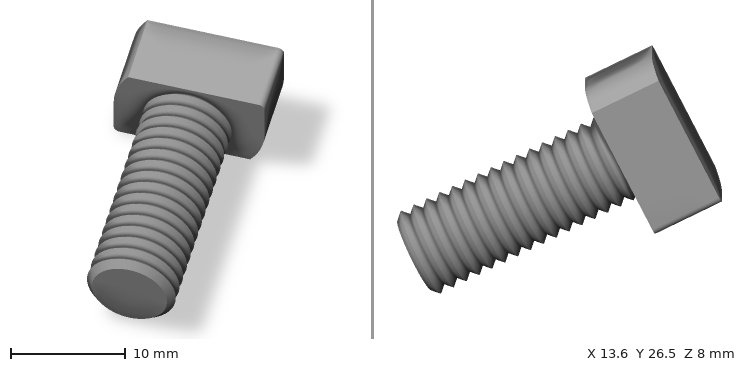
import cadquery as cq
import math


head_length = 13.6
head_width = 8.0
head_thickness = 6.5
corner_radius = 0.55

thread_diameter = 8.0
thread_pitch = 1.25
ridge_count = 16

half_pitch = thread_pitch / 2
crest_radius = thread_diameter / 2
root_radius = crest_radius - half_pitch


def make_head():
    """Rectangular head with two opposite corners rounded about the bolt axis so it can turn in a slot."""
    swing_radius = head_length / 2
    half_width = head_width / 2
    arc_end_x = math.sqrt(swing_radius**2 - half_width**2)
    arc_mid_angle = math.asin(half_width / swing_radius) / 2
    arc_mid_x = swing_radius * math.cos(arc_mid_angle)
    arc_mid_z = swing_radius * math.sin(arc_mid_angle)

    outline = (
        cq.Workplane("XZ")
        .moveTo(-swing_radius, 0)
        .threePointArc((-arc_mid_x, arc_mid_z), (-arc_end_x, half_width))
        .lineTo(swing_radius - corner_radius, half_width)
        .radiusArc((swing_radius, half_width - corner_radius), corner_radius)
        .lineTo(swing_radius, 0)
        .threePointArc((arc_mid_x, -arc_mid_z), (arc_end_x, -half_width))
        .lineTo(corner_radius - swing_radius, -half_width)
        .radiusArc((-swing_radius, corner_radius - half_width), corner_radius)
        .close()
    )
    return outline.extrude(-head_thickness)


def make_threaded_shank():
    """Revolve a zigzag profile that starts and ends at the thread root."""
    profile = cq.Workplane("XY").lineTo(-root_radius, 0)
    for ridge in range(ridge_count):
        ridge_start_y = -ridge * thread_pitch
        profile = profile.lineTo(-crest_radius, ridge_start_y - half_pitch)
        profile = profile.lineTo(-root_radius, ridge_start_y - thread_pitch)
    profile = profile.lineTo(0, -ridge_count * thread_pitch).close()
    return profile.revolve(360, (0, 0, 0), (0, 1, 0))


result = make_head().union(make_threaded_shank())